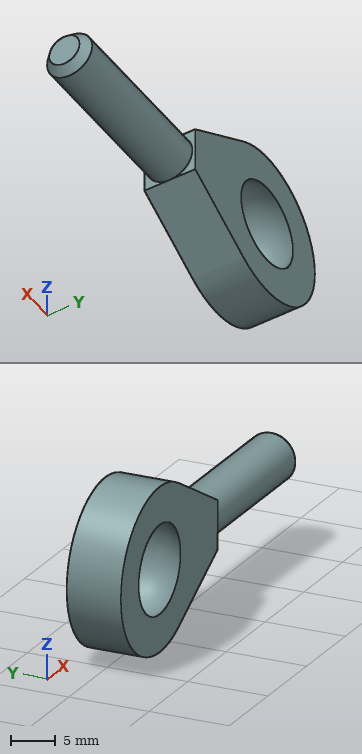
import cadquery as cq
import math

overall_length = 47.0
eye_radius = 10.0
eye_thickness = 6.75
bore_mouth_radius = 5.4
shoulder_x = 15.0
rod_radius = 3.0
tip_radius = 2.0
tip_chamfer_length = 1.1

rod_end_x = overall_length - eye_radius
bore_sphere_radius = math.hypot(bore_mouth_radius, eye_thickness / 2)


def make_eye():
    """Round eye whose flanks run tangent down to the rod at the shoulder."""
    corner_distance = math.hypot(shoulder_x, rod_radius)
    corner_angle = math.atan2(rod_radius, shoulder_x)
    tangent_angle = corner_angle + math.acos(eye_radius / corner_distance)
    tangent_x = eye_radius * math.cos(tangent_angle)
    tangent_z = eye_radius * math.sin(tangent_angle)
    return (
        cq.Workplane("XZ")
        .moveTo(shoulder_x, -rod_radius)
        .lineTo(shoulder_x, rod_radius)
        .lineTo(tangent_x, tangent_z)
        .threePointArc((-eye_radius, 0), (tangent_x, -tangent_z))
        .close()
        .extrude(eye_thickness / 2, both=True)
    )


def make_rod():
    """Round rod along X with a conical tip, rooted in the eye's shoulder."""
    return (
        cq.Workplane("XZ")
        .moveTo(shoulder_x, 0)
        .lineTo(shoulder_x, rod_radius)
        .lineTo(rod_end_x - tip_chamfer_length, rod_radius)
        .lineTo(rod_end_x, tip_radius)
        .lineTo(rod_end_x, 0)
        .close()
        .revolve(360, (0, 0, 0), (1, 0, 0))
    )


def make_bore():
    """Spherical zone about Y that opens through both flat faces of the eye."""
    half_thickness = eye_thickness / 2
    return (
        cq.Workplane("XY")
        .moveTo(0, -half_thickness)
        .lineTo(bore_mouth_radius, -half_thickness)
        .threePointArc((bore_sphere_radius, 0), (bore_mouth_radius, half_thickness))
        .lineTo(0, half_thickness)
        .close()
        .revolve(360, (0, 0, 0), (0, 1, 0))
    )


result = make_eye().union(make_rod()).cut(make_bore())